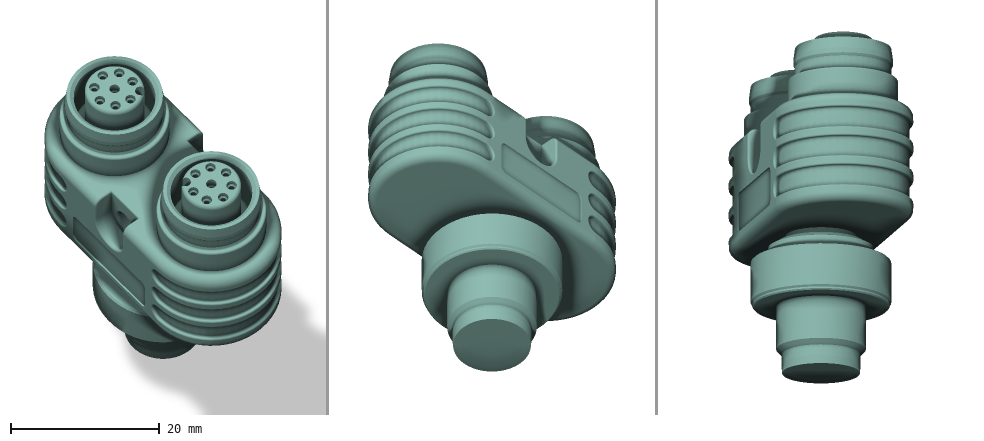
import cadquery as cq
import math


TOTAL_LENGTH = 39.3
BODY_WIDTH = 18.88
BODY_RADIUS = BODY_WIDTH / 2
PORT_X = TOTAL_LENGTH / 2 - BODY_RADIUS
BODY_BOTTOM = 19.05
BODY_TOP = 34.15
TOP_ROUND = 1.25
BOTTOM_ROUND = 1.1

OVERLAP = 0.45
TOLERANCE = 0.005

GROOVE_HEIGHT = 2.75
GROOVE_DEPTH = 0.55
GROOVE_PITCH = 4.05
GROOVE_MIDDLE_Z = 26.6
GROOVE_END_OFFSET = 0.2
GROOVE_EDGE_ROUND = 0.2

NOTCH_RADIUS = 2.8
NOTCH_DEPTH = 2.75
NOTCH_EDGE = 0.25
WEB_FACE_Y = BODY_RADIUS - NOTCH_DEPTH
WEB_HOLE_DIAMETER = 3.2
WEB_HOLE_Z = 30.05
WEB_HOLE_CHAMFER = 0.2

LABEL_LENGTH = 15.22
LABEL_BOTTOM = 20.8
LABEL_TOP = 26.2
LABEL_CORNER = 0.9
LABEL_DEPTH = 0.2

BARREL_RADIUS = 14.8 / 2
BARREL_TOP = 38.1
BARREL_ROUND = 0.25
NECK_RADIUS = 13.0 / 2
NECK_BOTTOM = 38.35
NECK_TOP = 39.9
BEAD_RADIUS = 13.4 / 2
BEAD_BOTTOM = 40.25
BEAD_TOP = 40.95
RIM_Z = 42.5
BORE_RADIUS = 11.0 / 2
BORE_MOUTH_RADIUS = 12.0 / 2
BORE_CHAMFER_HEIGHT = 0.45
BORE_FLOOR = 35.2
INSERT_RADIUS = 8.0 / 2
INSERT_TOP = 44.0
INSERT_ROUND = 0.55

CONTACT_COUNT = 7
CONTACT_CIRCLE_RADIUS = 2.75
CONTACT_PITCH_ANGLE = 49.0
CONTACT_DIAMETER = 1.4
CONTACT_DEPTH = 0.65
CENTRE_CONTACT_DEPTH = 1.3
PIN_HOLE_DIAMETER = 0.8
PIN_HOLE_DEPTH = 2.65
KEY_DIAMETER = 1.4
KEY_CIRCLE_RADIUS = 3.48
KEY_ANGLES = {-1: 45.0, 1: 225.0}

STEM_RADIUS = 9.6 / 2
DISC_RADIUS = 12.5 / 2
DISC_TOP = 18.1
DISC_TOP_CHAMFER = 0.25
SLEEVE_RADIUS = 14.25 / 2
SLEEVE_TOP = 17.4
SLEEVE_CHAMFER = 0.25
COLLAR_RADIUS = 18.9 / 2
COLLAR_TOP = 15.6
COLLAR_TOP_CHAMFER = 0.25
COLLAR_SIDE_BOTTOM = 9.85
LIP_RADIUS = 18.5 / 2
LIP_TOP = 9.6
COLLAR_BOTTOM = 9.2
LIP_CHAMFER = 0.18
PLUG_RADIUS = 12.05 / 2
PLUG_SHOULDER = 3.3
NOSE_RADIUS = 10.65 / 2
NOSE_TOP = 2.6
TIP_RADIUS = 10.45 / 2
TIP_TOP = 1.1


def stadium(radius, bottom, top):
    """Upright stadium prism whose round ends are centred on the ports."""
    length = 2 * (PORT_X + radius)
    return cq.Workplane("XY", origin=(0, 0, bottom)).slot2D(length, 2 * radius).extrude(top - bottom)


def round_part(points):
    """Solid of revolution about Z from a closed (radius, z) outline that starts and ends on the axis."""
    return cq.Workplane("XZ").polyline(points).close().revolve(360, (0, 0), (0, 1))


def make_grooved_body():
    """Rounded body with three grip grooves around each end."""
    body = stadium(BODY_RADIUS, BODY_BOTTOM, BODY_TOP)
    body = body.faces(">Z").edges().fillet(TOP_ROUND)
    body = body.faces("<Z").edges().fillet(BOTTOM_ROUND)
    core = stadium(BODY_RADIUS - GROOVE_DEPTH, BODY_BOTTOM, BODY_TOP)
    slot_length = TOTAL_LENGTH
    slot_centre = PORT_X - GROOVE_HEIGHT / 2 + GROOVE_END_OFFSET + slot_length / 2
    for step in (-1, 0, 1):
        level = GROOVE_MIDDLE_Z + step * GROOVE_PITCH
        slots = (
            cq.Workplane("XZ")
            .pushPoints([(-slot_centre, level), (slot_centre, level)])
            .slot2D(slot_length, GROOVE_HEIGHT)
            .extrude(BODY_WIDTH, both=True)
        )
        body = body.cut(slots.cut(core))
    return body.newObject(groove_edges(body)).fillet(GROOVE_EDGE_ROUND)


def groove_edges(body):
    """Edges where the groove walls meet the outer side of the body and the groove floors."""
    found = []
    for edge in body.edges().vals():
        middle = edge.positionAt(0.5)
        past_port = max(abs(middle.x) - PORT_X, 0)
        depth = BODY_RADIUS - math.hypot(past_port, middle.y)
        on_face = min(abs(depth), abs(depth - GROOVE_DEPTH)) < TOLERANCE
        between_rounds = BODY_BOTTOM + BOTTOM_ROUND + TOLERANCE < middle.z < BODY_TOP - TOP_ROUND - TOLERANCE
        if on_face and between_rounds and edge.geomType() != "LINE":
            found.append(edge)
    return found


def make_notches():
    """Cutter for the two U-shaped notches, which leave a web between them."""
    outline = (
        cq.Workplane("XZ")
        .moveTo(-NOTCH_RADIUS, BODY_TOP)
        .lineTo(-NOTCH_RADIUS, WEB_HOLE_Z)
        .threePointArc((0, WEB_HOLE_Z - NOTCH_RADIUS), (NOTCH_RADIUS, WEB_HOLE_Z))
        .lineTo(NOTCH_RADIUS, BODY_TOP)
        .close()
    )
    across = outline.extrude(BODY_RADIUS, both=True)
    web = cq.Workplane("XY").box(TOTAL_LENGTH, 2 * WEB_FACE_Y, 2 * BODY_TOP)
    return across.cut(web)


def notch_rims(body):
    """Edges where the notches open through the top and the sides of the body."""
    rims = []
    for edge in body.edges().vals():
        box = edge.BoundingBox()
        in_notch = max(abs(box.xmin), abs(box.xmax)) < NOTCH_RADIUS + TOLERANCE
        at_top = box.zmin > BODY_TOP - TOLERANCE
        ends_y = [abs(box.ymin), abs(box.ymax)]
        past_web = max(ends_y) > BODY_RADIUS - TOP_ROUND + TOLERANCE
        along_wall = min(ends_y) < WEB_FACE_Y + TOLERANCE
        if in_notch and (at_top or (past_web and not along_wall)):
            rims.append(edge)
    return rims


def make_web_hole():
    """Cutter for the hole through the web, chamfered at both mouths."""
    bore_end = WEB_FACE_Y - WEB_HOLE_CHAMFER
    radius = WEB_HOLE_DIAMETER / 2
    wide = radius + WEB_HOLE_CHAMFER
    return (
        cq.Workplane("XY")
        .polyline([
            (0, -WEB_FACE_Y),
            (wide, -WEB_FACE_Y),
            (radius, -bore_end),
            (radius, bore_end),
            (wide, WEB_FACE_Y),
            (0, WEB_FACE_Y),
        ])
        .close()
        .revolve(360, (0, 0), (0, 1))
        .translate((0, 0, WEB_HOLE_Z))
    )


def make_labels():
    """Cutter for the label recesses on both flat sides."""
    block = (
        cq.Workplane("XY")
        .box(LABEL_LENGTH, BODY_WIDTH, LABEL_TOP - LABEL_BOTTOM)
        .edges("|Y").fillet(LABEL_CORNER)
        .translate((0, 0, (LABEL_TOP + LABEL_BOTTOM) / 2))
    )
    core = cq.Workplane("XY").box(TOTAL_LENGTH, BODY_WIDTH - 2 * LABEL_DEPTH, 4 * BODY_TOP)
    return block.cut(core)


def make_shell():
    """Outside of one socket, solid inside: a barrel and a narrower neck that carries a bead."""
    barrel_bottom = BODY_TOP - OVERLAP
    barrel = (
        cq.Workplane("XY", origin=(0, 0, barrel_bottom))
        .circle(BARREL_RADIUS).extrude(BARREL_TOP - barrel_bottom)
        .faces(">Z").edges().fillet(BARREL_ROUND)
    )
    neck = round_part([
        (0, barrel_bottom),
        (BEAD_RADIUS, barrel_bottom),
        (BEAD_RADIUS, BARREL_TOP),
        (NECK_RADIUS, NECK_BOTTOM),
        (NECK_RADIUS, NECK_TOP),
        (BEAD_RADIUS, BEAD_BOTTOM),
        (BEAD_RADIUS, BEAD_TOP),
        (NECK_RADIUS, RIM_Z),
        (0, RIM_Z),
    ])
    return barrel.union(neck)


def make_bore():
    """Cutter for the bore of a socket, widened at the rim."""
    return round_part([
        (0, BORE_FLOOR),
        (BORE_RADIUS, BORE_FLOOR),
        (BORE_RADIUS, RIM_Z - BORE_CHAMFER_HEIGHT),
        (BORE_MOUTH_RADIUS, RIM_Z),
        (0, RIM_Z),
    ])


def make_seal():
    """Half-round ring that fills the bore floor between the insert and the bore wall."""
    ring_radius = (BORE_RADIUS - INSERT_RADIUS) / 2
    return (
        cq.Workplane("XZ")
        .moveTo(INSERT_RADIUS, BORE_FLOOR)
        .threePointArc((INSERT_RADIUS + ring_radius, BORE_FLOOR + ring_radius), (BORE_RADIUS, BORE_FLOOR))
        .close()
        .revolve(360, (0, 0), (0, 1))
    )


def drill(diameter, depth, top, spots):
    """Cutter for vertical holes of one depth, measured down from the level top."""
    return (
        cq.Workplane("XY", origin=(0, 0, top - depth))
        .pushPoints(spots).circle(diameter / 2).extrude(depth)
    )


def polar(radius, angle):
    """X and Y of a point at a radius and an angle in degrees."""
    return (radius * math.cos(math.radians(angle)), radius * math.sin(math.radians(angle)))


def make_insert(key_angle):
    """Contact carrier with a ring of contact holes, a central one and a key groove at key_angle."""
    height = INSERT_TOP - BORE_FLOOR
    insert = cq.Workplane("XY", origin=(0, 0, BORE_FLOOR)).circle(INSERT_RADIUS).extrude(height)
    insert = insert.faces(">Z").edges().fillet(INSERT_ROUND)
    middle = (CONTACT_COUNT - 1) / 2
    ring = [
        polar(CONTACT_CIRCLE_RADIUS, key_angle + 180 + (number - middle) * CONTACT_PITCH_ANGLE)
        for number in range(CONTACT_COUNT)
    ]
    centre = [(0, 0)]
    insert = insert.cut(drill(CONTACT_DIAMETER, CONTACT_DEPTH, INSERT_TOP, ring))
    insert = insert.cut(drill(CONTACT_DIAMETER, CENTRE_CONTACT_DEPTH, INSERT_TOP, centre))
    insert = insert.cut(drill(PIN_HOLE_DIAMETER, PIN_HOLE_DEPTH, INSERT_TOP, ring + centre))
    key_spot = [polar(KEY_CIRCLE_RADIUS, key_angle)]
    return insert.cut(drill(KEY_DIAMETER, height, INSERT_TOP, key_spot))


def make_socket(key_angle):
    """Complete female socket on the Z axis."""
    return make_shell().cut(make_bore()).union(make_insert(key_angle)).union(make_seal())


def make_plug():
    """Stem, stepped collar and plug barrel, all round about Z."""
    return round_part([
        (0, 0),
        (TIP_RADIUS, 0),
        (NOSE_RADIUS, TIP_TOP),
        (NOSE_RADIUS, NOSE_TOP),
        (PLUG_RADIUS, PLUG_SHOULDER),
        (PLUG_RADIUS, COLLAR_BOTTOM),
        (LIP_RADIUS - LIP_CHAMFER, COLLAR_BOTTOM),
        (LIP_RADIUS, COLLAR_BOTTOM + LIP_CHAMFER),
        (LIP_RADIUS, LIP_TOP),
        (COLLAR_RADIUS, COLLAR_SIDE_BOTTOM),
        (COLLAR_RADIUS, COLLAR_TOP - COLLAR_TOP_CHAMFER),
        (COLLAR_RADIUS - COLLAR_TOP_CHAMFER, COLLAR_TOP),
        (SLEEVE_RADIUS - SLEEVE_CHAMFER, COLLAR_TOP),
        (SLEEVE_RADIUS, COLLAR_TOP + SLEEVE_CHAMFER),
        (SLEEVE_RADIUS, SLEEVE_TOP),
        (DISC_RADIUS, SLEEVE_TOP),
        (DISC_RADIUS, DISC_TOP - DISC_TOP_CHAMFER),
        (DISC_RADIUS - DISC_TOP_CHAMFER, DISC_TOP),
        (STEM_RADIUS, DISC_TOP),
        (STEM_RADIUS, BODY_BOTTOM + OVERLAP),
        (0, BODY_BOTTOM + OVERLAP),
    ])


body = make_grooved_body().cut(make_notches())
body = body.newObject(notch_rims(body)).fillet(NOTCH_EDGE)
result = body.cut(make_web_hole()).cut(make_labels()).union(make_plug())
for side, key_angle in KEY_ANGLES.items():
    result = result.union(make_socket(key_angle).translate((side * PORT_X, 0, 0)))